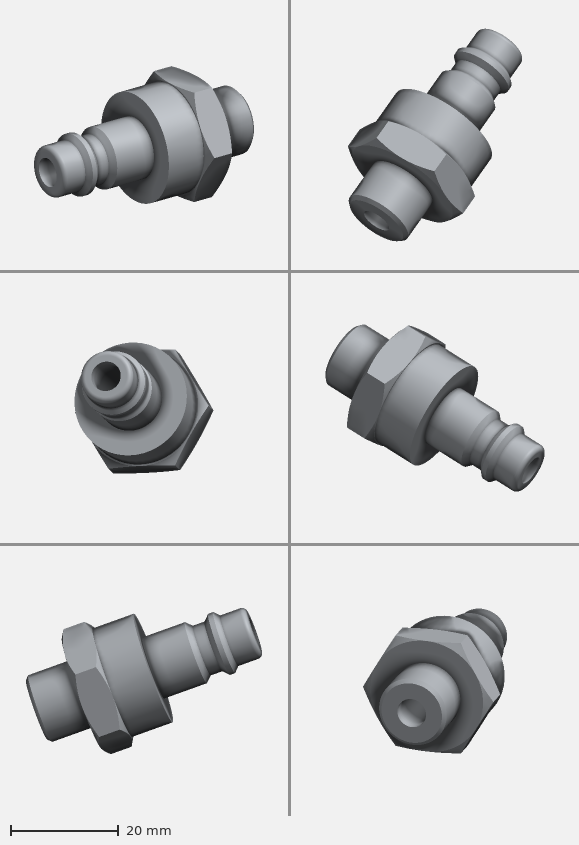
import cadquery as cq
import math

length = 43.0
tip_y = -length / 2
thread_end_y = length / 2

tip_radius = 5.0
tip_rounding = 1.0
tip_length = 5.0
collar_radius = 6.0
collar_width = 1.0
neck_radius = 4.9
neck_length = 2.32
collar_front_taper = 1.0
collar_back_taper = 1.1
plug_taper = 1.15

plug_radius = 6.0
plug_length = 20.0
flange_radius = 10.7
flange_length = 8.0
hex_flats = 22.0
hex_length = 6.0
hex_chamfer_angle = 30.0
hex_face_radius = hex_flats / 2
corner_clearance = 0.45
thread_radius = 6.6
thread_chamfer = 0.7
bore_radius = 2.8

tip_back_y = tip_y + tip_length
collar_front_y = tip_back_y + collar_front_taper
collar_back_y = collar_front_y + collar_width
neck_front_y = collar_back_y + collar_back_taper
neck_back_y = neck_front_y + neck_length
shank_front_y = neck_back_y + plug_taper
flange_front_y = tip_y + plug_length
hex_front_y = flange_front_y + flange_length
hex_back_y = hex_front_y + hex_length


def revolve_about_y(profile):
    return profile.close().revolve(360, (0, 0, 0), (0, 1, 0))


def turned_body():
    """Plug, flange and threaded end as one half profile turned about Y."""
    arc_offset = tip_rounding * math.sqrt(0.5)
    arc_middle = (
        tip_radius - tip_rounding + arc_offset,
        tip_y + tip_rounding - arc_offset,
    )
    return revolve_about_y(
        cq.Workplane("XY")
        .moveTo(0, tip_y)
        .lineTo(tip_radius - tip_rounding, tip_y)
        .threePointArc(arc_middle, (tip_radius, tip_y + tip_rounding))
        .lineTo(tip_radius, tip_back_y)
        .lineTo(collar_radius, collar_front_y)
        .lineTo(collar_radius, collar_back_y)
        .lineTo(neck_radius, neck_front_y)
        .lineTo(neck_radius, neck_back_y)
        .lineTo(plug_radius, shank_front_y)
        .lineTo(plug_radius, flange_front_y)
        .lineTo(flange_radius, flange_front_y)
        .lineTo(flange_radius, hex_front_y)
        .lineTo(thread_radius, hex_front_y)
        .lineTo(thread_radius, thread_end_y - thread_chamfer)
        .lineTo(thread_radius - thread_chamfer, thread_end_y)
        .lineTo(0, thread_end_y)
    )


def chamfered_hexagon():
    """Hexagon with corners on +X and -X, its corners turned off conically at both ends."""
    corner_radius = hex_face_radius / math.cos(math.pi / 6)
    cone_radius = corner_radius + corner_clearance
    cone_depth = (cone_radius - hex_face_radius) * math.tan(math.radians(hex_chamfer_angle))
    prism = (
        cq.Workplane("XZ", origin=(0, hex_back_y, 0))
        .polygon(6, 2 * corner_radius)
        .extrude(hex_length)
    )
    envelope = revolve_about_y(
        cq.Workplane("XY")
        .moveTo(0, hex_front_y)
        .lineTo(hex_face_radius, hex_front_y)
        .lineTo(cone_radius, hex_front_y + cone_depth)
        .lineTo(cone_radius, hex_back_y - cone_depth)
        .lineTo(hex_face_radius, hex_back_y)
        .lineTo(0, hex_back_y)
    )
    return prism.intersect(envelope)


bore = cq.Workplane("XZ", origin=(0, thread_end_y, 0)).circle(bore_radius).extrude(length)

result = turned_body().union(chamfered_hexagon()).cut(bore)